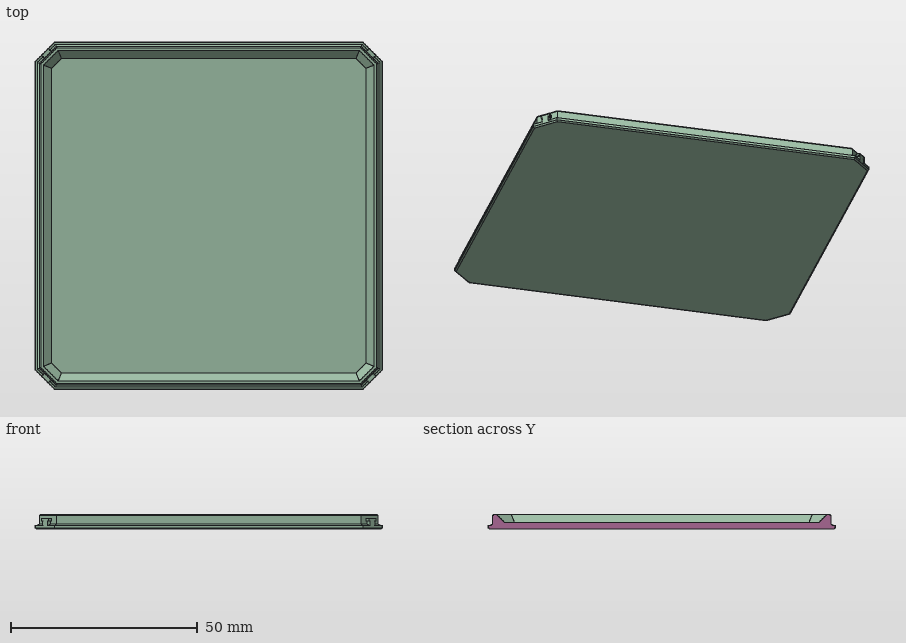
import cadquery as cq
import math

SIDE = 93.0
HEIGHT = 4.0
CORNER_CUT = 5.2
FLANGE_TOP = 1.0
FLANGE_BEVEL = 0.4

SKIRT_INSET = 0.6
SKIRT_TOP = 1.4
WALL_INSET = 1.1
RIM_BEVEL = 0.4

RIM_INSET = 2.2
FLOOR_INSET = 4.4
FLOOR_Z = 1.9

STEM_WIDTH = 1.9
HEAD_WIDTH = 2.6
HEAD_BOTTOM = 2.2
HEAD_TOP = 2.9
TAB_OVERLAP = 0.5


def octagon(inset, z):
    """Square with cut corners, offset evenly inward from the flange outline."""
    half = SIDE / 2 - inset
    cut = CORNER_CUT - inset * (2 - math.sqrt(2))
    flat = half - cut
    points = [
        (half, -flat), (half, flat), (flat, half), (-flat, half),
        (-half, flat), (-half, -flat), (-flat, -half), (flat, -half),
    ]
    return cq.Workplane("XY").workplane(offset=z).polyline(points).close()


def frustum(bottom_inset, bottom_z, top_inset, top_z):
    """Octagonal layer with straight sloping or upright sides."""
    bottom = octagon(bottom_inset, bottom_z).val()
    top = octagon(top_inset, top_z).val()
    return cq.Workplane(cq.Solid.makeLoft([bottom, top], True))


def tab_block(width, bottom, top):
    """Block on +X reaching from inside the wall out to the corner face."""
    face_distance = (SIDE - CORNER_CUT) / math.sqrt(2)
    depth = WALL_INSET + TAB_OVERLAP
    return (
        cq.Workplane("XY")
        .workplane(offset=bottom)
        .center(face_distance - depth / 2, 0)
        .rect(depth, width)
        .extrude(top - bottom)
    )


def corner_tab(angle):
    """Narrow stem rising from the flange, with a wider head on top."""
    stem = tab_block(STEM_WIDTH, FLANGE_BEVEL, HEAD_BOTTOM)
    head = tab_block(HEAD_WIDTH, HEAD_BOTTOM, HEAD_TOP)
    return stem.union(head).rotate((0, 0, 0), (0, 0, 1), angle)


result = frustum(FLANGE_BEVEL, 0, 0, FLANGE_BEVEL)
result = result.union(frustum(0, FLANGE_BEVEL, 0, FLANGE_TOP))
result = result.union(frustum(SKIRT_INSET, FLANGE_TOP, WALL_INSET, SKIRT_TOP))
result = result.union(frustum(WALL_INSET, SKIRT_TOP, WALL_INSET, HEIGHT - RIM_BEVEL))
result = result.union(
    frustum(WALL_INSET, HEIGHT - RIM_BEVEL, WALL_INSET + RIM_BEVEL, HEIGHT)
)

for corner in range(4):
    result = result.union(corner_tab(45 + 90 * corner))

result = result.cut(frustum(FLOOR_INSET, FLOOR_Z, RIM_INSET, HEIGHT))